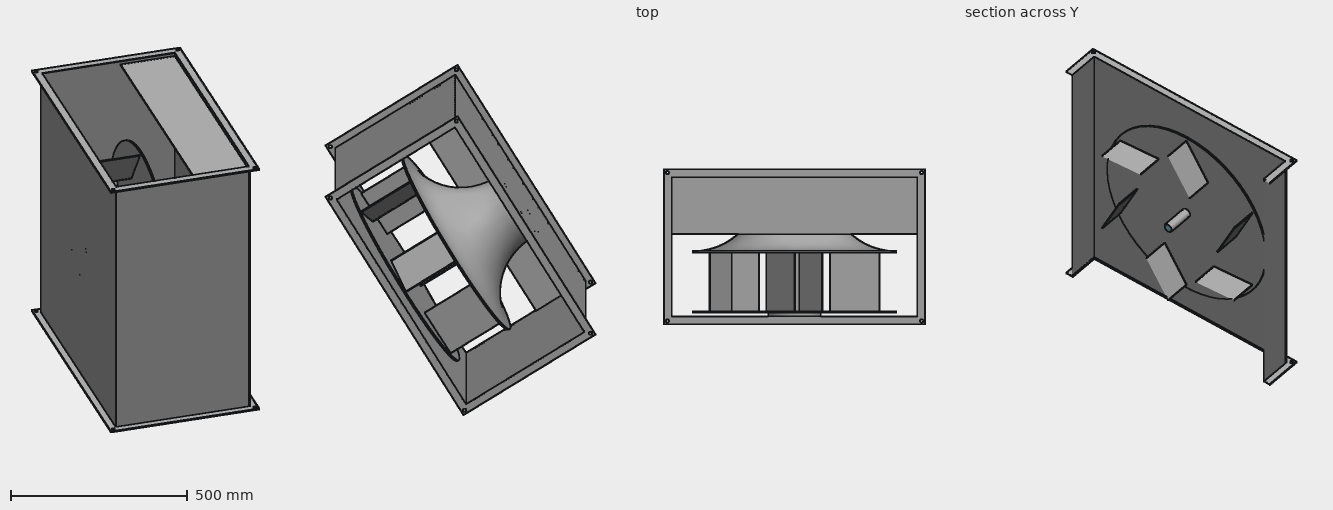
import cadquery as cq
import math

body_x = 700.0
body_y = 400.0
height = 780.0
wall = 3.0
flange_overhang = 20.0
flange_thickness = 4.0
bolt_inset = 10.0
bolt_diameter = 9.0

shelf_depth = 11.0
shelf_thickness = 3.0
shelf_front_y = 36.0

disc_radius = 288.0
disc_thickness = 5.0
shroud_rim_thickness = 5.0
shroud_lip = 3.0
shaft_radius = 14.0
shroud_front_y = -17.0
back_disc_front_y = -187.0
hub_radius = 75.0
inlet_radius = 100.0
blade_count = 6
blade_thickness = 3.0
blade_tip = (-1.0, 278.0)
blade_root = (-80.0, 162.0)

body_front_y = -body_y / 2
body_rear_y = body_y / 2
top_z = height / 2
back_disc_rear_y = back_disc_front_y + disc_thickness
disc_gap = shroud_front_y - back_disc_rear_y
shroud_rim_y = shroud_front_y + shroud_rim_thickness
flare_outer_radius = disc_radius - shroud_lip
flare_radius = flare_outer_radius - inlet_radius
flare_end_y = shroud_rim_y + flare_radius


def make_casing():
    outer = cq.Workplane("XY").box(body_x, body_y, height)
    inner = cq.Workplane("XY").box(body_x - 2 * wall, body_y - 2 * wall, height)
    return outer.cut(inner)


def make_flange(bottom_z):
    outer_x = body_x + 2 * flange_overhang
    outer_y = body_y + 2 * flange_overhang
    return (
        cq.Workplane("XY", origin=(0, 0, bottom_z))
        .rect(outer_x, outer_y)
        .rect(body_x - 2 * wall, body_y - 2 * wall)
        .extrude(flange_thickness)
        .faces(">Z")
        .workplane()
        .rect(outer_x - 2 * bolt_inset, outer_y - 2 * bolt_inset, forConstruction=True)
        .vertices()
        .hole(bolt_diameter)
    )


def make_shelf():
    """Plain sheet reaching forward from the rear wall, between the side walls."""
    bottom_z = top_z - shelf_depth - shelf_thickness
    shelf_y = body_rear_y - wall - shelf_front_y
    return (
        cq.Workplane("XY", origin=(0, shelf_front_y, bottom_z))
        .box(body_x - 2 * wall, shelf_y, shelf_thickness, centered=(True, False, False))
    )


def make_shroud():
    """Solid inlet shroud: thin rim, quarter-arc flare, then a cylinder to the rear wall."""
    mid = flare_radius * math.sqrt(0.5)
    return (
        cq.Workplane("YZ")
        .moveTo(shroud_front_y, 0)
        .lineTo(shroud_front_y, disc_radius)
        .lineTo(shroud_rim_y, disc_radius)
        .lineTo(shroud_rim_y, flare_outer_radius)
        .threePointArc((flare_end_y - mid, flare_outer_radius - mid), (flare_end_y, inlet_radius))
        .lineTo(body_rear_y, inlet_radius)
        .lineTo(body_rear_y, 0)
        .close()
        .revolve(360, (0, 0), (1, 0))
    )


def make_back_disc():
    """Back disc with a round hub that ends flush with the front wall."""
    return (
        cq.Workplane("YZ")
        .moveTo(body_front_y, 0)
        .lineTo(body_front_y, hub_radius)
        .lineTo(back_disc_front_y, hub_radius)
        .lineTo(back_disc_front_y, disc_radius)
        .lineTo(back_disc_rear_y, disc_radius)
        .lineTo(back_disc_rear_y, 0)
        .close()
        .revolve(360, (0, 0), (1, 0))
    )


def make_shaft():
    return (
        cq.Workplane("XZ", origin=(0, shroud_front_y, 0))
        .circle(shaft_radius)
        .extrude(disc_gap)
    )


def make_blade(angle):
    """Flat, inclined blade between shroud and back disc, turned about the Y axis."""
    run_x = blade_tip[0] - blade_root[0]
    run_z = blade_tip[1] - blade_root[1]
    length = math.hypot(run_x, run_z)
    offset_x = blade_thickness * run_z / length
    offset_z = -blade_thickness * run_x / length
    tip_back = (blade_tip[0] + offset_x, blade_tip[1] + offset_z)
    root_back = (blade_root[0] + offset_x, blade_root[1] + offset_z)
    return (
        cq.Workplane("XZ", origin=(0, shroud_front_y, 0))
        .polyline([blade_root, blade_tip, tip_back, root_back])
        .close()
        .extrude(disc_gap)
        .rotate((0, 0, 0), (0, 1, 0), angle)
    )


casing = make_casing().union(make_flange(top_z - flange_thickness)).union(make_flange(-top_z))
impeller = make_shroud().union(make_back_disc()).union(make_shaft())
for index in range(blade_count):
    impeller = impeller.union(make_blade(360.0 * index / blade_count))

result = casing.union(make_shelf()).union(impeller)